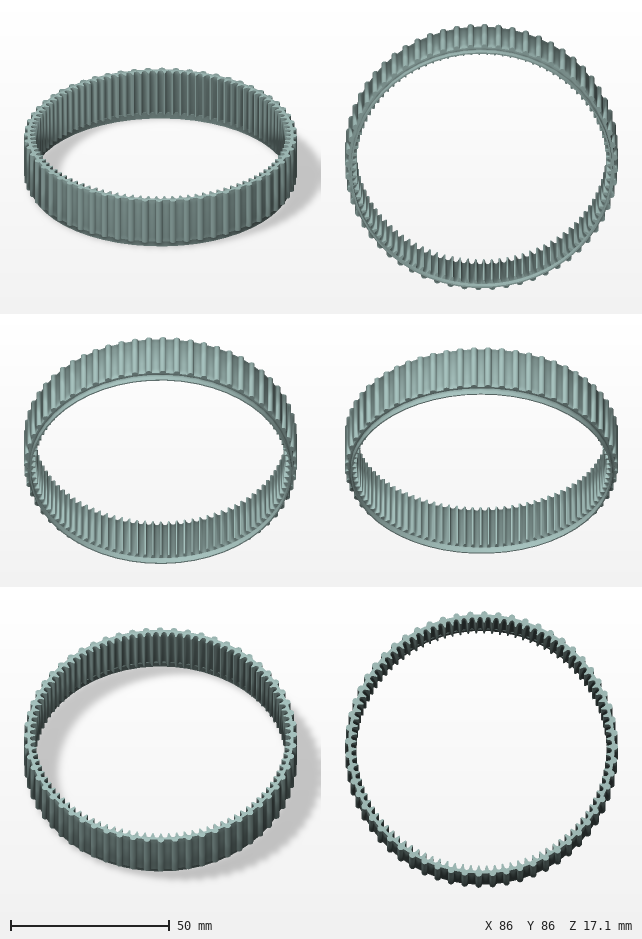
import cadquery as cq
import math

outer_diameter = 86.0
total_height = 17.1

ring_outer_diameter = 82.5
ring_inner_diameter = 81.5
ring_height = 2.15
band_height = total_height - ring_height

rib_count = 60
rib_radius = 1.0
rib_center_radius = outer_diameter / 2 - rib_radius
band_radius = 42.0

tooth_count = 100
tooth_tip_radius = 39.4
slot_root_radius = 41.1
slot_bottom_radius = 0.8
slot_flank_degrees = 14.0


def polar(radius, degrees):
    """Point at a distance from the axis and an angle from +X."""
    angle = math.radians(degrees)
    return (radius * math.cos(angle), radius * math.sin(angle))


def rib_outline():
    """Closed wire round the outside of the band, with one arc per rib and one per valley."""
    pitch_angle = 360 / rib_count
    half_rib_angle = math.degrees(
        math.acos(
            (band_radius**2 + rib_center_radius**2 - rib_radius**2)
            / (2 * band_radius * rib_center_radius)
        )
    )
    outline = cq.Workplane("XY", origin=(0, 0, ring_height))
    outline = outline.moveTo(*polar(band_radius, -half_rib_angle))
    for rib in range(rib_count):
        middle = rib * pitch_angle
        next_middle = middle + pitch_angle
        outline = outline.threePointArc(
            polar(outer_diameter / 2, middle), polar(band_radius, middle + half_rib_angle)
        )
        outline = outline.threePointArc(
            polar(band_radius, middle + pitch_angle / 2),
            polar(band_radius, next_middle - half_rib_angle),
        )
    return outline.close()


def tooth_outline():
    """Closed wire round the inside of the band, with one slot and one tooth tip per pitch."""
    pitch_angle = 360 / tooth_count
    flank = math.radians(slot_flank_degrees)
    tangent_depth = slot_root_radius - slot_bottom_radius * (1 - math.sin(flank))
    tangent_half_width = slot_bottom_radius * math.cos(flank)
    mouth_half_width = tangent_half_width + (tangent_depth - tooth_tip_radius) * math.tan(flank)
    tangent_radius = math.hypot(tangent_depth, tangent_half_width)
    tangent_angle = math.degrees(math.atan2(tangent_half_width, tangent_depth))
    mouth_angle = math.degrees(math.asin(mouth_half_width / tooth_tip_radius))

    first_middle = pitch_angle / 2
    outline = cq.Workplane("XY", origin=(0, 0, ring_height))
    outline = outline.moveTo(*polar(tooth_tip_radius, first_middle - mouth_angle))
    for slot in range(tooth_count):
        middle = first_middle + slot * pitch_angle
        next_middle = middle + pitch_angle
        outline = outline.lineTo(*polar(tangent_radius, middle - tangent_angle))
        outline = outline.threePointArc(
            polar(slot_root_radius, middle), polar(tangent_radius, middle + tangent_angle)
        )
        outline = outline.lineTo(*polar(tooth_tip_radius, middle + mouth_angle))
        outline = outline.threePointArc(
            polar(tooth_tip_radius, middle + pitch_angle / 2),
            polar(tooth_tip_radius, next_middle - mouth_angle),
        )
    return outline.close()


band = rib_outline().extrude(band_height).cut(tooth_outline().extrude(band_height))

ring = (
    cq.Workplane("XY")
    .circle(ring_outer_diameter / 2)
    .circle(ring_inner_diameter / 2)
    .extrude(ring_height)
)

result = band.union(ring)